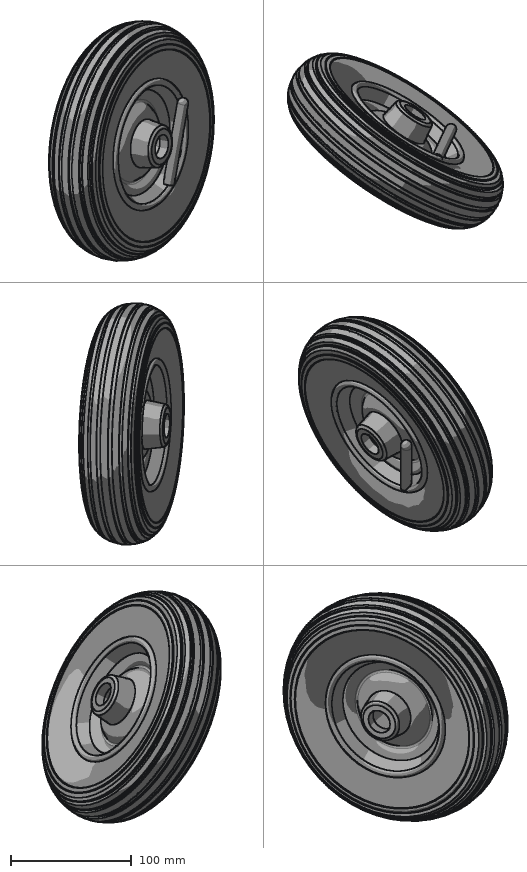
import cadquery as cq
import math


TYRE_RADIUS = 100.0
TYRE_HALF_WIDTH = 25.0
CROWN_HEIGHT = 17.8
GROOVES = [(3.2, 6.5), (12.2, 14.5), (18.8, 21.0), (23.2, 24.5)]
CENTRE_GROOVE_DEPTH = 1.8
SIDE_GROOVE_DEPTH = 0.8
SIDE_BAND_X = 24.8
SIDE_BAND_RADIUS = 81.0
SEAT = (24.5, 80.5)

FLANK_MIDDLE = (23.0, 68.0)
LIP_OUTER_RADIUS = 55.5
LIP_RADIUS = 2.8
LIP_CENTRE_X = 18.5
DISH_FLOOR = (8.8, 44.5)
RIDGE_ROUNDING = 9.5
VALLEY_OUTER = (3.8, 35.8)
VALLEY_BOTTOM = (3.0, 34.5)
VALLEY_INNER = (3.8, 33.5)
DOME_ROUNDING = 14.2

HUB_HALF_LENGTH = 30.0
HUB_ROOT = (12.5, 20.5)
HUB_EDGE = (28.2, 17.8)
HUB_EDGE_ROUNDING = 3.2

BUSH_RADIUS = 15.0
BUSH_LENGTH = 8.5
BORE_RADIUS = 10.0

VALVE_RADIUS = 4.5
VALVE_CAP_CENTRE = (25.8, 38.0, 27.5)
VALVE_LEAN = 0.12
VALVE_STEM_LENGTH = 70.0


def arc(start, end, radius):
    """Profile step from start to end along an arc that bulges towards larger x."""
    chord_x = end[0] - start[0]
    chord_r = end[1] - start[1]
    chord = math.hypot(chord_x, chord_r)
    bulge = radius - math.sqrt(radius**2 - chord**2 / 4)
    side = math.copysign(bulge / chord, chord_r)
    middle = (
        (start[0] + end[0]) / 2 + side * chord_r,
        (start[1] + end[1]) / 2 - side * chord_x,
    )
    return (middle, end)


def follow(path, points):
    """Extends the path by a line to one point, or by an arc through the first of two points."""
    if len(points) == 1:
        return path.lineTo(*points[0])
    return path.threePointArc(*points)


def revolve_symmetric(start, steps):
    """Turns a profile about X. The profile runs from start along the steps, and mirrored about x = 0.

    A step is (end,) for a line or (middle, end) for an arc.
    """
    def mirrored(point):
        return (-point[0], point[1])

    path = cq.Workplane("XY").moveTo(*mirrored(start)).lineTo(*start)
    for step in steps:
        path = follow(path, step)

    path = path.lineTo(*mirrored(steps[-1][-1]))
    corners = [start] + [step[-1] for step in steps]
    for step, previous in reversed(list(zip(steps, corners))):
        path = follow(path, [mirrored(point) for point in (*step[:-1], previous)])
    return path.close().revolve(360, (0, 0, 0), (1, 0, 0))


def crown_point(x):
    """Point of the elliptical tread outline at x."""
    height = CROWN_HEIGHT * math.sqrt(1 - (x / TYRE_HALF_WIDTH) ** 2)
    return (x, TYRE_RADIUS - CROWN_HEIGHT + height)


def tread_steps():
    """Grooves and ribs from the centre rib out to the outermost groove."""
    steps = []
    rib_start = None
    for inner, outer in GROOVES:
        groove_top = crown_point(outer)
        if rib_start is None:
            floor = TYRE_RADIUS - CENTRE_GROOVE_DEPTH
        else:
            floor = groove_top[1] - SIDE_GROOVE_DEPTH
            steps.append((crown_point((rib_start + inner) / 2), crown_point(inner)))
        steps += [((inner, floor),), ((outer, floor),), (groove_top,)]
        rib_start = outer
    return steps


def make_tyre():
    side_steps = [
        (crown_point(SIDE_BAND_X), (TYRE_HALF_WIDTH, SIDE_BAND_RADIUS)),
        (SEAT,),
    ]
    return revolve_symmetric((GROOVES[0][0], TYRE_RADIUS), tread_steps() + side_steps)


def make_rim(valve):
    """Rim with rounded flanks, rolled lips and wavy discs, bored for the hub and recessed for the valve stem."""
    lip_start = (LIP_CENTRE_X, LIP_OUTER_RADIUS)
    lip_crest = (LIP_CENTRE_X + LIP_RADIUS, LIP_OUTER_RADIUS - LIP_RADIUS)
    lip_end = (LIP_CENTRE_X, LIP_OUTER_RADIUS - 2 * LIP_RADIUS)
    steps = [
        (FLANK_MIDDLE, lip_start),
        (lip_crest, lip_end),
        (DISH_FLOOR,),
        arc(DISH_FLOOR, VALLEY_OUTER, RIDGE_ROUNDING),
        (VALLEY_BOTTOM, VALLEY_INNER),
        arc(VALLEY_INNER, HUB_ROOT, DOME_ROUNDING),
    ]
    return revolve_symmetric(SEAT, steps).cut(valve)


def make_hub():
    """Hub with conical ends, a bore and a seat for a bush at each end."""
    seat_x = HUB_HALF_LENGTH - BUSH_LENGTH
    steps = [
        (HUB_EDGE,),
        arc(HUB_EDGE, (HUB_HALF_LENGTH, BUSH_RADIUS), HUB_EDGE_ROUNDING),
        ((seat_x, BUSH_RADIUS),),
        ((seat_x, BORE_RADIUS),),
    ]
    return revolve_symmetric(HUB_ROOT, steps)


def make_bush(start_x):
    section = cq.Workplane("YZ", origin=(start_x, 0, 0)).circle(BUSH_RADIUS).circle(BORE_RADIUS)
    return section.extrude(BUSH_LENGTH)


def make_valve():
    """Leaning round stem with a domed cap."""
    rise = math.sqrt(1 - 2 * VALVE_LEAN**2)
    cap_plane = cq.Plane(
        origin=VALVE_CAP_CENTRE,
        xDir=(rise, 0, -VALVE_LEAN),
        normal=(VALVE_LEAN, VALVE_LEAN, rise),
    )
    stem = cq.Workplane(cap_plane).circle(VALVE_RADIUS).extrude(-VALVE_STEM_LENGTH)
    cap = cq.Workplane(cap_plane).sphere(VALVE_RADIUS, angle1=0)
    return stem.union(cap)


valve = make_valve()
tyre = make_tyre()
rim = make_rim(valve)
hub = make_hub()
bushes = [make_bush(start_x) for start_x in (-HUB_HALF_LENGTH, HUB_HALF_LENGTH - BUSH_LENGTH)]

result = cq.Compound.makeCompound(
    [tyre.val(), rim.val(), hub.val(), *[bush.val() for bush in bushes], valve.val()]
)